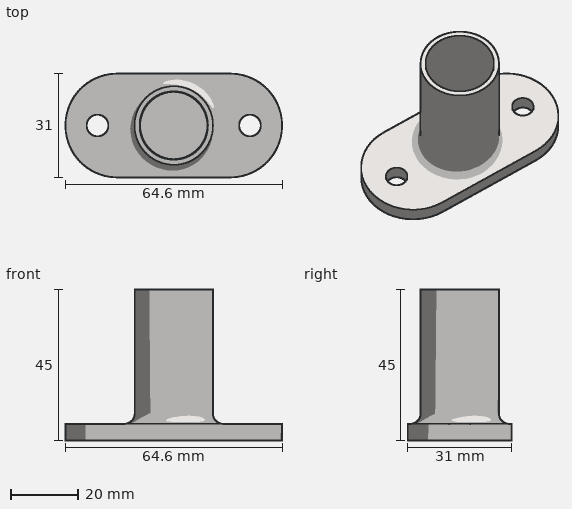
import cadquery as cq

plate_length = 64.6
plate_width = 31.0
plate_thickness = 5.0

hole_diameter = 6.4
hole_spacing = 45.4

total_height = 45.0
tube_outer_diameter = 23.4

bore_diameter = 20.4
bore_step_height = 12.0
lower_bore_diameter = 20.0
bore_floor_height = 2.0

root_fillet_radius = 3.0


def make_plate():
    """Flat plate with fully rounded ends, standing on Z = 0."""
    return cq.Workplane("XY").slot2D(plate_length, plate_width).extrude(plate_thickness)


def add_tube(body):
    """Solid round post on the plate, blended into it by a fillet at its root."""
    body = (
        body.faces(">Z").workplane()
        .circle(tube_outer_diameter / 2)
        .extrude(total_height - plate_thickness)
    )
    reach = tube_outer_diameter / 2 + root_fillet_radius / 2
    root_zone = cq.selectors.BoxSelector(
        (-reach, -reach, plate_thickness - root_fillet_radius / 2),
        (reach, reach, plate_thickness + root_fillet_radius / 2),
        boundingbox=True,
    )
    return body.edges("%CIRCLE").edges(root_zone).fillet(root_fillet_radius)


def make_bore():
    """Blind round bore, open at the top of the tube and slightly narrower below a small step."""
    lower_bore = (
        cq.Workplane("XY", origin=(0, 0, bore_floor_height))
        .circle(lower_bore_diameter / 2)
        .extrude(bore_step_height - bore_floor_height)
    )
    return (
        lower_bore.faces(">Z").workplane()
        .circle(bore_diameter / 2)
        .extrude(total_height - bore_step_height)
    )


def make_mounting_holes():
    """One through hole near each rounded end of the plate."""
    return (
        cq.Workplane("XY")
        .pushPoints([(side * hole_spacing / 2, 0) for side in (-1, 1)])
        .circle(hole_diameter / 2)
        .extrude(plate_thickness)
    )


result = add_tube(make_plate()).cut(make_bore()).cut(make_mounting_holes())